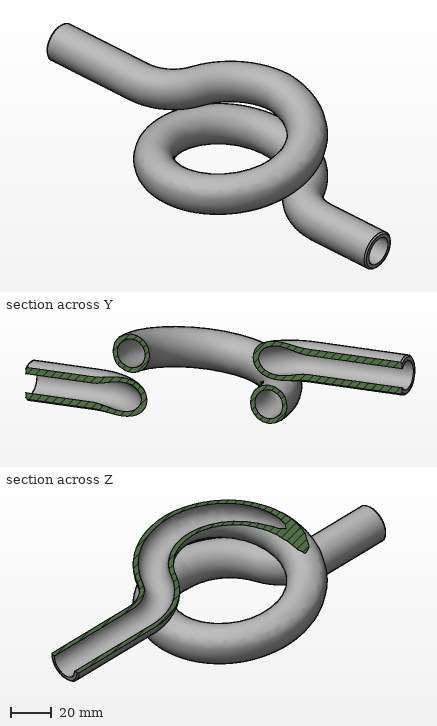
import cadquery as cq
import math

total_length = 205.0
tube_diameter = 20.0
bore_diameter = 14.8
coil_outer_diameter = 96.0
coil_rise = 30.0
inlet_reach = 110.0
bend_start = 58.6
end_chamfer = 0.8

outlet_reach = total_length - inlet_reach
coil_radius = (coil_outer_diameter - tube_diameter) / 2
bend_radius = (bend_start**2 - coil_radius**2) / (2 * coil_radius)
bend_angle = math.atan2(bend_start, bend_radius)
upper_z = coil_rise / 2
lower_z = -coil_rise / 2


def leg_path(reach):
    """Straight leg, reverse bend and coil arc in XY, running from -X to the +Y crest."""
    bend_middle = (
        -bend_start + bend_radius * math.sin(bend_angle / 2),
        bend_radius * (1 - math.cos(bend_angle / 2)),
    )
    bend_end = (
        -coil_radius * math.sin(bend_angle),
        coil_radius * math.cos(bend_angle),
    )
    arc_middle = (
        -coil_radius * math.sin(bend_angle / 2),
        coil_radius * math.cos(bend_angle / 2),
    )
    return (
        cq.Workplane("XY")
        .moveTo(-reach, 0)
        .lineTo(-bend_start, 0)
        .threePointArc(bend_middle, bend_end)
        .threePointArc(arc_middle, (0, coil_radius))
    )


def leg_rod(reach, diameter):
    """Solid round rod following one leg, at Z = 0."""
    profile = cq.Workplane("YZ", origin=(-reach, 0, 0)).circle(diameter / 2)
    return profile.sweep(leg_path(reach))


def helix_rod(diameter):
    """Solid round rod rising through one turn, starting and ending at the +Y crest."""
    helix = cq.Wire.makeHelix(coil_rise, coil_rise, coil_radius)
    profile = cq.Workplane("XZ", origin=(coil_radius, 0, 0)).circle(diameter / 2)
    turn = profile.sweep(cq.Workplane(obj=helix), isFrenet=True)
    return turn.rotate((0, 0, 0), (0, 0, 1), 90).translate((0, 0, lower_z))


def leg_tube(reach):
    """Hollow leg with a chamfered outer rim at its free end."""
    rod = leg_rod(reach, tube_diameter).faces("<X").chamfer(end_chamfer)
    return rod.cut(leg_rod(reach, bore_diameter))


inlet = leg_tube(inlet_reach).translate((0, 0, upper_z))
outlet = leg_tube(outlet_reach).mirror("YZ").translate((0, 0, lower_z))
coil = helix_rod(tube_diameter).cut(helix_rod(bore_diameter))

result = coil.union(inlet).union(outlet)